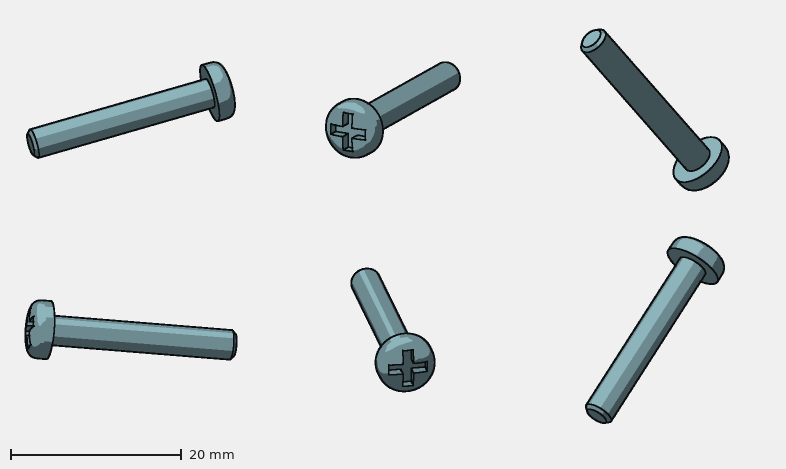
import cadquery as cq

head_diameter = 6.86
head_height = 2.48
rim_height = 1.04
shank_diameter = 3.5
shank_length = 22.225
tip_chamfer = 0.43

crown_reach = 2.5
shoulder_reach = 1.2

recess_span = 4.6
recess_wing_width = 1.25
recess_depth = 1.4

head_radius = head_diameter / 2
shank_radius = shank_diameter / 2
tip_radius = shank_radius - tip_chamfer


def make_screw_blank():
    """Head and shank revolved around the Y axis from one half profile."""
    dome_curve = [
        (head_radius, rim_height),
        (head_radius, rim_height + shoulder_reach),
        (crown_reach, head_height),
        (0, head_height),
    ]
    profile = (
        cq.Workplane("XY")
        .moveTo(0, -shank_length)
        .lineTo(tip_radius, -shank_length)
        .lineTo(shank_radius, -shank_length + tip_chamfer)
        .lineTo(shank_radius, 0)
        .lineTo(head_radius, 0)
        .lineTo(head_radius, rim_height)
        .bezier(dome_curve)
        .close()
    )
    return profile.revolve(360, (0, 0, 0), (0, 1, 0))


def make_cross_recess():
    """Two crossed flat-bottomed slots, sunk from the top of the head."""
    slot_center = (0, head_height - recess_depth / 2, 0)
    slot_along_x = cq.Workplane("XY").box(recess_span, recess_depth, recess_wing_width)
    slot_along_z = cq.Workplane("XY").box(recess_wing_width, recess_depth, recess_span)
    return slot_along_x.union(slot_along_z).translate(slot_center)


result = make_screw_blank().cut(make_cross_recess())